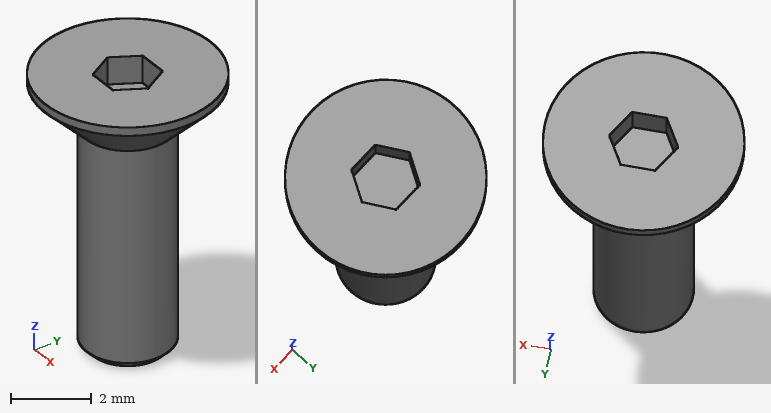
import cadquery as cq
import math

total_length = 8.0
head_diameter = 5.0
shank_diameter = head_diameter / 2
rim_height = 0.25
tip_chamfer = 0.25
socket_across_flats = 1.5
socket_depth = 0.8

head_radius = head_diameter / 2
shank_radius = shank_diameter / 2
rim_bottom = total_length - rim_height
cone_bottom = rim_bottom - (head_radius - shank_radius)


def screw_body():
    """Head, shank and chamfered tip as one revolved half profile."""
    return (
        cq.Workplane("XZ")
        .moveTo(0, 0)
        .lineTo(shank_radius - tip_chamfer, 0)
        .lineTo(shank_radius, tip_chamfer)
        .lineTo(shank_radius, cone_bottom)
        .lineTo(head_radius, rim_bottom)
        .lineTo(head_radius, total_length)
        .lineTo(0, total_length)
        .close()
        .revolve(360, (0, 0, 0), (0, 1, 0))
    )


def hex_socket():
    """Flat-bottomed hexagonal drive recess with two corners on the X axis."""
    across_corners = socket_across_flats / math.cos(math.radians(30))
    return (
        cq.Workplane("XY")
        .workplane(offset=total_length - socket_depth)
        .polygon(6, across_corners)
        .extrude(socket_depth)
    )


result = screw_body().cut(hex_socket())